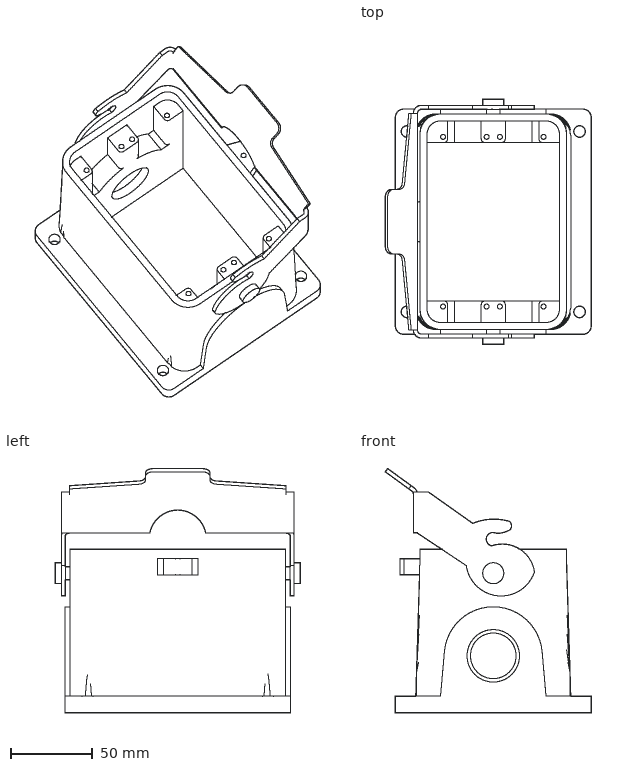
import cadquery as cq
import math


flange_length = 138.5
flange_width = 120.4
flange_height = 10.4
flange_corner_radius = 5.4
screw_x = 53.0
screw_y = 55.4
screw_radius = 3.5
screw_head_radius = 5.9

wall = 4.4
rim_height = 100.5
draft_top = 94.7
box_length = 132.5
rim_width = 90.0
foot_width = 95.3
box_corner_radius = 12.5
floor_height = wall

entry_height = 35.0
entry_boss_radius = 30.1
entry_boss_draft = 5.0
entry_radius = 16.1
entry_depth = 15.0
entry_bore_radius = 14.0

end_block_y = 48.6
dome_half_width = 23.8
post_top = 88.6
post_corner_radius = 2.3
corner_post_x = 28.0
middle_post_half_width = 7.4
post_hole_radius = 1.5
post_hole_depth = 7.5
post_hole_y = 52.0
corner_hole_x = 30.9
middle_hole_x = 4.0

catch_bottom = 84.7
catch_root_half_width = 12.5
catch_tip_half_width = 8.9
catch_shoulder_x = -54.8
catch_tip_x = -57.3
catch_hole_x = -50.5
catch_hole_radius = 1.5

pivot_height = 85.8
stud_radius = 4.0
stud_head_radius = 6.5
stud_end_y = 75.2

sheet = 2.5
inner_bend_radius = 2.4
outer_bend_radius = inner_bend_radius + sheet
lever_half_length = 71.5
lever_front_x = -49.0
lever_top = 135.8
lever_bottom = 110.6
thumb_notch_radius = 17.5
thumb_notch_height = 107.0

arm_top_x = -39.9
arm_bottom_x = -47.0
hook_root = (-12.6, 116.5)
hook_crest = (-0.9, 119.0)
hook_tip_top = (9.5, 117.8)
hook_tip = (11.3, 114.7)
hook_tip_bottom = (9.6, 112.0)
hook_underside = (6.0, 110.6)
hook_heel = (2.7, 110.2)
notch_top = (-0.5, 110.8)
notch_back = (-4.2, 106.7)
notch_bottom = (-1.0, 102.6)
cam_crest = (16.4, 100.5)
cam_nose = (25.3, 86.5)
cam_underside = (4.7, 71.8)
cam_root = (-16.5, 90.5)

handle_angle = 36.0
handle_bend_height = 135.5
handle_reach = 21.4
handle_end_reach = 3.5
handle_neck_reach = 8.9
handle_tab_half_width = 19.9
handle_tab_radius = 4.8
handle_neck_radius = 4.2


def rounded_rectangle(width, length, radius):
    return cq.Sketch().rect(width, length).vertices().fillet(radius)


def outer_box():
    """Box with leaning side walls below an upright collar."""
    foot = rounded_rectangle(foot_width, box_length, box_corner_radius)
    rim = rounded_rectangle(rim_width, box_length, box_corner_radius)
    lean_height = draft_top - flange_height
    leaning = (
        cq.Workplane("XY", origin=(0, 0, flange_height))
        .placeSketch(foot, rim.moved(cq.Location(cq.Vector(0, 0, lean_height))))
        .loft(ruled=True)
    )
    collar = cq.Workplane("XY", origin=(0, 0, draft_top)).placeSketch(rim).extrude(rim_height - draft_top)
    return leaning.union(collar)


def y_cylinder(radius, height, y_start, y_end):
    """A cylinder along Y, centred on X = 0."""
    return cq.Workplane("XZ", origin=(0, y_start, height)).circle(radius).extrude(y_start - y_end)


def mounting_flange():
    return (
        cq.Workplane("XY")
        .placeSketch(rounded_rectangle(flange_width, flange_length, flange_corner_radius))
        .extrude(flange_height)
    )


def entry_bosses():
    """Arched pads on both end walls, flush with the flange; the hollow removes what lies inside."""
    draft = math.radians(entry_boss_draft)
    tangent_x = entry_boss_radius * math.cos(draft)
    tangent_z = entry_height + entry_boss_radius * math.sin(draft)
    foot_x = tangent_x + (tangent_z - flange_height) * math.tan(draft)
    return (
        cq.Workplane("XZ")
        .moveTo(-foot_x, flange_height)
        .lineTo(-tangent_x, tangent_z)
        .threePointArc((0, entry_height + entry_boss_radius), (tangent_x, tangent_z))
        .lineTo(foot_x, flange_height)
        .close()
        .extrude(flange_length / 2, both=True)
    )


def end_block(side):
    """Thickened lower end wall with a domed top around the cable entry."""
    depth = flange_length / 2 - end_block_y
    shoulder_height = entry_height + math.sqrt(entry_boss_radius**2 - dome_half_width**2)
    block = cq.Workplane("XY").box(foot_width, depth, shoulder_height, centered=(True, True, False))
    dome = y_cylinder(entry_boss_radius, entry_height, -depth / 2, depth / 2)
    dome_limit = cq.Workplane("XY").box(2 * dome_half_width, depth, rim_height, centered=(True, True, False))
    return block.union(dome.intersect(dome_limit)).translate((0, side * (end_block_y + depth / 2), 0))


def end_posts(side):
    """Two corner posts and one middle post with screw holes in their tops."""
    depth = flange_length / 2 - end_block_y
    middle_y = side * (end_block_y + depth / 2)

    def upright(width):
        base = cq.Workplane("XY", origin=(0, middle_y, 0))
        return base.box(width, depth, post_top, centered=(True, True, False))

    inner_edges = "|Z and <Y" if side > 0 else "|Z and >Y"
    middle = upright(2 * middle_post_half_width).edges(inner_edges).fillet(post_corner_radius)
    corners = upright(foot_width).cut(upright(2 * corner_post_x))
    for direction in (-1, 1):
        edge_point = (direction * corner_post_x, side * end_block_y, post_top / 2)
        nearest_edge = cq.selectors.NearestToPointSelector(edge_point)
        corners = corners.edges("|Z").edges(nearest_edge).fillet(post_corner_radius)
    holes = (
        cq.Workplane("XY", origin=(0, side * post_hole_y, post_top))
        .pushPoints([(x, 0) for x in (-corner_hole_x, -middle_hole_x, middle_hole_x, corner_hole_x)])
        .circle(post_hole_radius)
        .extrude(-post_hole_depth)
    )
    return middle.union(corners).cut(holes)


def hollow():
    """The upright space inside the box, less the end blocks and posts."""
    outline = rounded_rectangle(rim_width - 2 * wall, box_length - 2 * wall, box_corner_radius - wall)
    floor = cq.Workplane("XY", origin=(0, 0, floor_height))
    space = floor.placeSketch(outline).extrude(rim_height - floor_height)
    for side in (-1, 1):
        space = space.cut(end_block(side).union(end_posts(side)))
    return space


def catch():
    return (
        cq.Workplane("XY", origin=(0, 0, catch_bottom))
        .moveTo(-rim_width / 2 + wall, catch_root_half_width)
        .lineTo(-rim_width / 2, catch_root_half_width)
        .lineTo(catch_shoulder_x, catch_tip_half_width)
        .threePointArc((catch_tip_x, 0), (catch_shoulder_x, -catch_tip_half_width))
        .lineTo(-rim_width / 2, -catch_root_half_width)
        .lineTo(-rim_width / 2 + wall, -catch_root_half_width)
        .close()
        .moveTo(catch_hole_x, 0)
        .circle(catch_hole_radius)
        .extrude(draft_top - catch_bottom)
    )


def pivot_stud(side):
    """A headed stud that carries one arm of the lever."""
    shank = y_cylinder(stud_radius, pivot_height, side * (box_length - wall) / 2, side * stud_end_y)
    head = y_cylinder(stud_head_radius, pivot_height, side * lever_half_length, side * stud_end_y)
    return shank.union(head)


def screw_cutters(radius, bottom, top):
    return (
        cq.Workplane("XY", origin=(0, 0, bottom))
        .rect(2 * screw_x, 2 * screw_y, forConstruction=True)
        .vertices()
        .circle(radius)
        .extrude(top - bottom)
    )


def make_housing():
    body = mounting_flange().union(outer_box())
    body = body.union(entry_bosses()).union(catch())
    body = body.cut(screw_cutters(screw_radius, 0, flange_height))
    body = body.cut(screw_cutters(screw_head_radius, flange_height, catch_bottom))
    body = body.cut(hollow())
    outer_face = -flange_length / 2
    body = body.cut(y_cylinder(entry_radius, entry_height, outer_face, outer_face + entry_depth))
    body = body.cut(y_cylinder(entry_bore_radius, entry_height, outer_face, -end_block_y))
    for side in (-1, 1):
        body = body.union(pivot_stud(side))
    return body


def lever_strip():
    """The front plate and both arms as a U of bent sheet, before trimming."""
    length_x = flange_width / 2 - lever_front_x
    outer = (
        cq.Workplane("XY")
        .box(length_x, 2 * lever_half_length, lever_top, centered=(False, True, False))
        .edges("|Z and <X")
        .fillet(outer_bend_radius)
    )
    inner = (
        cq.Workplane("XY", origin=(sheet, 0, 0))
        .box(length_x, 2 * (lever_half_length - sheet), lever_top, centered=(False, True, False))
        .edges("|Z and <X")
        .fillet(inner_bend_radius)
    )
    return outer.cut(inner).translate((lever_front_x, 0, 0))


def lever_side_profile():
    """Arm with a hook, a notch below the hook and a rounded cam around the pivot, solid across Y."""
    return (
        cq.Workplane("XZ")
        .moveTo(lever_front_x, lever_bottom)
        .lineTo(lever_front_x, lever_top)
        .lineTo(arm_top_x, lever_top)
        .lineTo(*hook_root)
        .threePointArc(hook_crest, hook_tip_top)
        .threePointArc(hook_tip, hook_tip_bottom)
        .threePointArc(hook_underside, hook_heel)
        .lineTo(*notch_top)
        .threePointArc(notch_back, notch_bottom)
        .threePointArc(cam_crest, cam_nose)
        .threePointArc(cam_underside, cam_root)
        .lineTo(arm_bottom_x, lever_bottom)
        .close()
        .extrude(lever_half_length, both=True)
    )


def handle_outline(plate_half_width):
    """Block with the outline of the flattened tab: Y across, distance from the bend upward."""
    root_reach = -sheet - outer_bend_radius
    outline = (
        cq.Workplane("XY")
        .moveTo(-plate_half_width, root_reach)
        .lineTo(-plate_half_width, handle_end_reach)
        .lineTo(-handle_tab_half_width, handle_neck_reach)
        .lineTo(-handle_tab_half_width, handle_reach)
        .lineTo(handle_tab_half_width, handle_reach)
        .lineTo(handle_tab_half_width, handle_neck_reach)
        .lineTo(plate_half_width, handle_end_reach)
        .lineTo(plate_half_width, root_reach)
        .close()
        .extrude(2 * outer_bend_radius, both=True)
    )
    for direction in (-1, 1):
        x = direction * handle_tab_half_width
        for reach, radius in ((handle_reach, handle_tab_radius), (handle_neck_reach, handle_neck_radius)):
            corner = cq.selectors.NearestToPointSelector((x, reach, 0))
            outline = outline.edges("|Z").edges(corner).fillet(radius)
    return outline


def handle(plate_half_width, bend_start):
    """Bent tab, from bend_start on the front plate out to the tip."""
    angle = math.radians(handle_angle)
    bend_x = lever_front_x
    tip_x = bend_x - handle_reach * math.cos(angle)
    tip_z = handle_bend_height + handle_reach * math.sin(angle)
    back_x = bend_x + sheet
    back_z = handle_bend_height + sheet * (1 - math.sin(angle)) / math.cos(angle)
    bent = (
        cq.Workplane("XZ")
        .moveTo(bend_x, bend_start)
        .lineTo(bend_x, handle_bend_height)
        .lineTo(tip_x, tip_z)
        .lineTo(tip_x + sheet * math.sin(angle), tip_z + sheet * math.cos(angle))
        .lineTo(back_x, back_z)
        .lineTo(back_x, bend_start)
        .close()
        .extrude(plate_half_width, both=True)
    )
    for x, z, radius in (
        (bend_x, handle_bend_height, inner_bend_radius),
        (back_x, back_z, outer_bend_radius),
    ):
        bent = bent.edges("|Y").edges(cq.selectors.NearestToPointSelector((x, 0, z))).fillet(radius)
    slope = cq.Plane(
        origin=(bend_x, 0, handle_bend_height),
        xDir=(0, 1, 0),
        normal=(math.sin(angle), 0, math.cos(angle)),
    )
    trim = handle_outline(plate_half_width).val().moved(cq.Location(slope))
    return bent.intersect(cq.Workplane(obj=trim))


def make_lever():
    plate_half_width = lever_half_length - outer_bend_radius
    turn = math.radians(90 - handle_angle)
    bend_start = handle_bend_height - outer_bend_radius * math.tan(turn / 2)
    lever = lever_strip().intersect(lever_side_profile())
    handle_room = (
        cq.Workplane("XY", origin=(lever_front_x, 0, bend_start))
        .box(2 * sheet, 2 * plate_half_width, handle_reach, centered=(True, True, False))
    )
    thumb_notch = (
        cq.Workplane("YZ", origin=(lever_front_x, 0, thumb_notch_height))
        .circle(thumb_notch_radius)
        .extrude(sheet)
    )
    lever = lever.cut(handle_room.translate((sheet / 2, 0, 0)))
    lever = lever.union(handle(plate_half_width, bend_start)).cut(thumb_notch)
    return lever.cut(y_cylinder(stud_radius, pivot_height, -lever_half_length, lever_half_length))


housing = make_housing()
lever = make_lever()
result = cq.Compound.makeCompound([housing.val(), lever.val()])